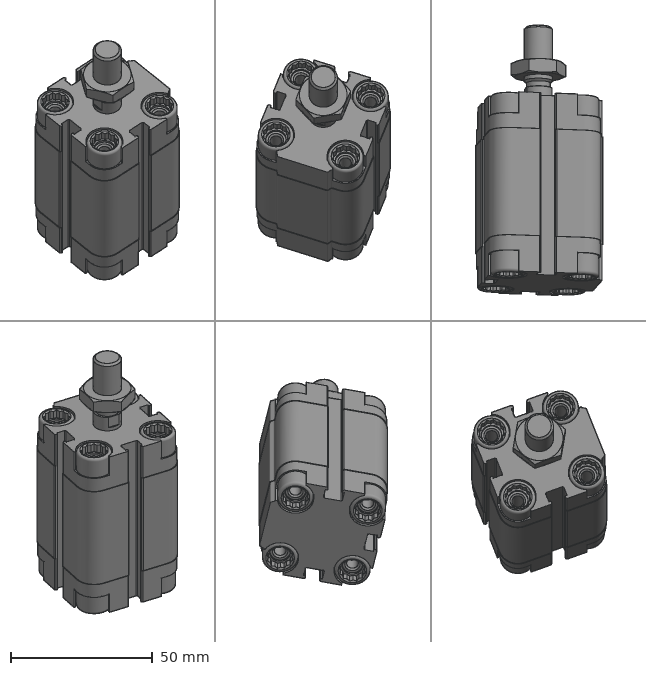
import cadquery as cq
import math

body_width = 40.0
body_height = 64.5
cap_height = 13.0
cap_inset = 0.25
corner_radius = 7.0
rib_top_half_width = 9.4
rib_rise = 1.5
rib_side_angle = 30
rib_round = 0.5
half_width = body_width / 2

slot_depth = 5.0
slot_lip = 1.5
slot_half_width = 3.4
mouth_half_width = 2.6
mouth_bevel = 0.5
lip_back_bevel = 0.3
slot_floor_bevel = 0.4
slot_overshoot = 0.9

screw_spacing = 26.0
head_diameter = 12.5
seat_diameter = 13.0
head_height = 7.5
head_round = 1.0
notch_reach = 2.5
lead_in_diameter = 10.0
lead_in_angle = 30
socket_across_flats = 8.0
socket_depth = 3.4
relief_diameter = 7.2
relief_depth = 0.8
bolt_hole_diameter = 4.1
bolt_chamfer_diameter = 5.4

rod_diameter = 10.0
rod_bottom = body_height - cap_height
rod_top = 92.0
rod_shoulder = 70.0
neck_diameter = 8.5
neck_top = 71.9
rod_tip_diameter = 8.5
flat_across = 9.0
flat_bottom = 65.9

nut_across_flats = 17.0
nut_bottom = 74.15
nut_thickness = 5.0
nut_crown_diameter = 16.7
nut_crown_angle = 20


def plain_prism(inset, bottom, height):
    """Rounded square with the round-edged +Y rib, every outer face moved in by `inset`."""
    side = body_width - 2 * inset
    square = (
        cq.Workplane("XY", origin=(0, 0, bottom))
        .rect(side, side)
        .extrude(height)
        .edges("|Z")
        .fillet(corner_radius - inset)
    )
    face_y = half_width - inset
    rib_base_half_width = rib_top_half_width + rib_rise * math.tan(math.radians(rib_side_angle))
    rib = (
        cq.Workplane("XY", origin=(0, 0, bottom))
        .polyline([
            (-rib_base_half_width, face_y),
            (rib_base_half_width, face_y),
            (rib_top_half_width, face_y + rib_rise),
            (-rib_top_half_width, face_y + rib_rise),
        ])
        .close()
        .extrude(height)
    )
    rib_region = cq.selectors.BoxSelector(
        (-screw_spacing / 2 + rib_round, face_y - rib_round, bottom),
        (screw_spacing / 2 - rib_round, face_y + rib_rise + rib_round, bottom + height),
    )
    return square.union(rib).edges("|Z").edges(rib_region).fillet(rib_round)


def slot_cutter(inset, turn):
    """T-slot with bevelled lips for a -Y face moved in by `inset`, turned about Z by `turn` degrees."""
    face_y = inset - half_width
    lip_y = slot_lip - half_width
    floor_y = slot_depth - half_width
    half_outline = [
        (mouth_half_width + mouth_bevel + slot_overshoot, face_y - slot_overshoot),
        (mouth_half_width, face_y + mouth_bevel),
        (mouth_half_width, lip_y - lip_back_bevel),
        (mouth_half_width + lip_back_bevel, lip_y),
        (slot_half_width, lip_y),
        (slot_half_width, floor_y - slot_floor_bevel),
        (slot_half_width - slot_floor_bevel, floor_y),
    ]
    mirrored = [(-x, y) for x, y in reversed(half_outline)]
    cutter = cq.Workplane("XY").polyline(half_outline + mirrored).close().extrude(body_height)
    return cutter.rotate((0, 0, 0), (0, 0, 1), turn)


def body_section(inset, bottom, height):
    """One length of the housing profile with its three T-slots."""
    section = plain_prism(inset, bottom, height)
    for turn in (-90, 0, 90):
        section = section.cut(slot_cutter(inset, turn))
    return section


def corner_pocket():
    """Clearance at one corner of the top: round seat of the head plus the open notch outside it."""
    seat = cq.Workplane("XY").circle(seat_diameter / 2).extrude(head_height)
    notch_size = 2 * head_diameter
    notch = (
        cq.Workplane("XY")
        .center(notch_reach - notch_size / 2, notch_reach - notch_size / 2)
        .rect(notch_size, notch_size)
        .extrude(head_height)
    )
    return seat.union(notch)


def star_prism(depth):
    """Twelve-point socket made of two hexagons."""
    hexagon = cq.Workplane("XY").polygon(6, socket_across_flats, circumscribed=True).extrude(-depth)
    return hexagon.union(hexagon.rotate((0, 0, 0), (0, 0, 1), 30))


def screw_head():
    """Rounded head standing on z = 0, with its twelve-point socket."""
    head = (
        cq.Workplane("XY")
        .circle(head_diameter / 2)
        .extrude(head_height)
        .faces(">Z")
        .edges()
        .fillet(head_round)
    )
    lead_in_width = (lead_in_diameter - socket_across_flats) / 2
    lead_in_depth = lead_in_width * math.tan(math.radians(lead_in_angle))
    socket = star_prism(socket_depth).translate((0, 0, head_height))
    lead_in = cq.Workplane("XY").add(cq.Solid.makeCone(
        socket_across_flats / 2, lead_in_diameter / 2, lead_in_depth,
        pnt=cq.Vector(0, 0, head_height - lead_in_depth),
    ))
    floor = head_height - socket_depth
    relief = cq.Workplane("XY", origin=(0, 0, floor)).circle(relief_diameter / 2).extrude(-relief_depth)
    bolt_chamfer_depth = (bolt_chamfer_diameter - bolt_hole_diameter) / 2
    bolt_chamfer = cq.Workplane("XY").add(cq.Solid.makeCone(
        bolt_hole_diameter / 2, bolt_chamfer_diameter / 2, bolt_chamfer_depth,
        pnt=cq.Vector(0, 0, floor - relief_depth - bolt_chamfer_depth),
    ))
    return head.cut(socket).cut(lead_in).cut(relief).cut(bolt_chamfer)


def at_corners(shape):
    """Copies of a -X -Y corner shape at all four top corners and all four bottom corners."""
    base = shape.translate((-screw_spacing / 2, -screw_spacing / 2, body_height - head_height))
    copies = []
    for on_right in (False, True):
        for on_rear in (False, True):
            for on_bottom in (False, True):
                copy = base
                if on_right:
                    copy = copy.mirror("YZ")
                if on_rear:
                    copy = copy.mirror("XZ")
                if on_bottom:
                    copy = copy.mirror("XY").translate((0, 0, body_height))
                copies.append(copy)
    return copies


def make_housing():
    """Three profile lengths with eight screw heads, four bolt holes and the rod bore."""
    lower_cap = body_section(cap_inset, 0, cap_height)
    middle = body_section(0, cap_height, body_height - 2 * cap_height)
    upper_cap = body_section(cap_inset, body_height - cap_height, cap_height)
    body = middle.union(lower_cap).union(upper_cap)
    for pocket in at_corners(corner_pocket()):
        body = body.cut(pocket)
    for head in at_corners(screw_head()):
        body = body.union(head)
    bolt_holes = (
        cq.Workplane("XY")
        .rect(screw_spacing, screw_spacing, forConstruction=True)
        .vertices()
        .circle(bolt_hole_diameter / 2)
        .extrude(body_height)
    )
    rod_bore = (
        cq.Workplane("XY", origin=(0, 0, rod_bottom))
        .circle(rod_diameter / 2)
        .extrude(body_height - rod_bottom)
    )
    return body.cut(bolt_holes).cut(rod_bore)


def make_rod():
    """Necked and chamfered rod seated in the upper cap, with two wrench flats."""
    radius = rod_diameter / 2
    neck_radius = neck_diameter / 2
    tip_radius = rod_tip_diameter / 2
    rod = (
        cq.Workplane("XZ")
        .polyline([
            (0, rod_bottom),
            (radius, rod_bottom),
            (radius, rod_shoulder),
            (neck_radius, rod_shoulder),
            (neck_radius, neck_top),
            (radius, neck_top + radius - neck_radius),
            (radius, rod_top - (radius - tip_radius)),
            (tip_radius, rod_top),
            (0, rod_top),
        ])
        .close()
        .revolve(360, (0, 0), (0, 1))
    )
    for side in (-1, 1):
        flat = (
            cq.Workplane("XY", origin=(0, side * (flat_across + rod_diameter) / 2, flat_bottom))
            .rect(2 * rod_diameter, rod_diameter)
            .extrude(rod_shoulder - flat_bottom)
        )
        rod = rod.cut(flat)
    return rod


def make_nut():
    """Hexagon nut crowned on both faces."""
    hexagon_radius = nut_across_flats / math.sqrt(3)
    crown_radius = nut_crown_diameter / 2
    crown_drop = (hexagon_radius - crown_radius) * math.tan(math.radians(nut_crown_angle))
    hexagon = (
        cq.Workplane("XY")
        .polygon(6, 2 * hexagon_radius)
        .extrude(nut_thickness)
        .rotate((0, 0, 0), (0, 0, 1), 30)
    )
    crown = (
        cq.Workplane("XZ")
        .polyline([
            (0, 0),
            (crown_radius, 0),
            (hexagon_radius, crown_drop),
            (hexagon_radius, nut_thickness - crown_drop),
            (crown_radius, nut_thickness),
            (0, nut_thickness),
        ])
        .close()
        .revolve(360, (0, 0), (0, 1))
    )
    bore = cq.Workplane("XY").circle(rod_diameter / 2).extrude(nut_thickness)
    return hexagon.intersect(crown).cut(bore).translate((0, 0, nut_bottom))


housing = make_housing()
rod = make_rod()
nut = make_nut()
result = cq.Compound.makeCompound([housing.val(), rod.val(), nut.val()])